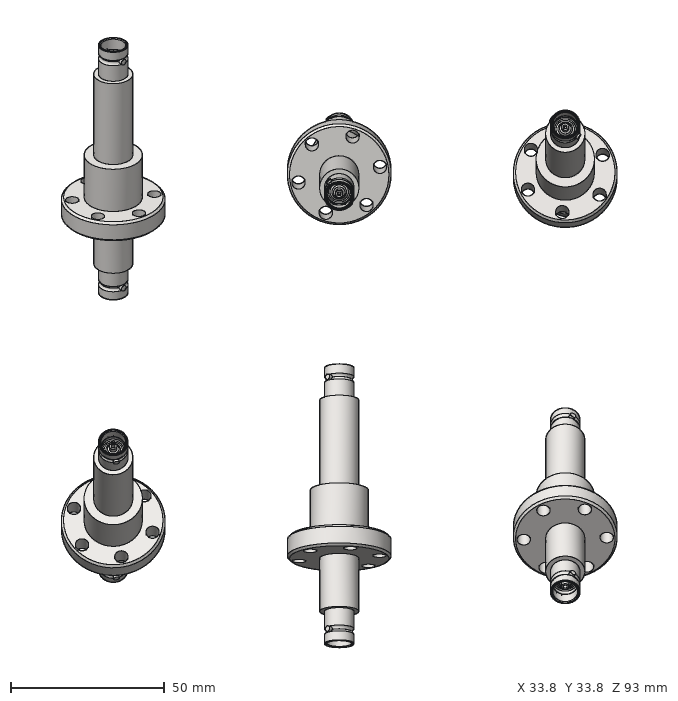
import cadquery as cq

overall_length = 92.96
lower_reach = 28.8
upper_reach = overall_length - lower_reach

flange_diameter = 33.78
flange_thickness = 7.1
flange_chamfer = 0.75
bolt_count = 6
bolt_circle_diameter = 26.97
bolt_hole_diameter = 4.32

hub_diameter = 18.95
hub_top = 22.9
barrel_diameter = 12.75

shell_length = 11.0
shell_radius = 4.83
rim_chamfer = 0.18
groove_start = 3.2
groove_end = 5.15
groove_middle = (groove_start + groove_end) / 2
groove_radius = 4.3
lug_diameter = 1.95
lug_span = 10.97

mouth_chamfer = 0.3
mouth_radius = 4.05
mouth_depth = 4.1
bore_radius = 3.95
bore_depth = 5.75
floor_radius = 3.5
floor_depth = 6.0

insulator_base_radius = 3.0
insulator_break_radius = 2.35
insulator_tip_radius = 1.85
insulator_break_height = 0.35
insulator_height = 1.05

contact_radius = 1.2
contact_height = 1.95
contact_hole_radius = 0.6


def cylinder(diameter, bottom, top):
    return cq.Workplane("XY").workplane(offset=bottom).circle(diameter / 2).extrude(top - bottom)


def make_flange():
    flange = cylinder(flange_diameter, 0, flange_thickness).edges().chamfer(flange_chamfer)
    bolt_holes = (
        cq.Workplane("XY")
        .polarArray(bolt_circle_diameter / 2, 0, 360, bolt_count)
        .circle(bolt_hole_diameter / 2)
        .extrude(flange_thickness)
    )
    return flange.cut(bolt_holes)


def make_connector():
    """Connector with its open rim at Z = 0, running down to -shell_length."""
    insulator_top = insulator_height - floor_depth
    contact_top = insulator_top + contact_height
    half_section = (
        cq.Workplane("XZ")
        .moveTo(0, -shell_length)
        .lineTo(shell_radius, -shell_length)
        .lineTo(shell_radius, -groove_end)
        .threePointArc((groove_radius, -groove_middle), (shell_radius, -groove_start))
        .lineTo(shell_radius, -rim_chamfer)
        .lineTo(shell_radius - rim_chamfer, 0)
        .lineTo(mouth_radius + mouth_chamfer, 0)
        .lineTo(mouth_radius, -mouth_chamfer)
        .lineTo(mouth_radius, -mouth_depth)
        .lineTo(bore_radius, -mouth_depth)
        .lineTo(bore_radius, -bore_depth)
        .lineTo(floor_radius, -floor_depth)
        .lineTo(insulator_base_radius, -floor_depth)
        .lineTo(insulator_break_radius, insulator_break_height - floor_depth)
        .lineTo(insulator_tip_radius, insulator_top)
        .lineTo(contact_radius, insulator_top)
        .lineTo(contact_radius, contact_top)
        .lineTo(contact_hole_radius, contact_top)
        .lineTo(contact_hole_radius, insulator_top)
        .lineTo(0, insulator_top)
        .close()
    )
    shell = half_section.revolve(360, (0, 0, 0), (0, 1, 0))
    lug_bar = (
        cq.Workplane("YZ")
        .center(0, -groove_middle)
        .circle(lug_diameter / 2)
        .extrude(lug_span / 2, both=True)
    )
    lugs = lug_bar.cut(cylinder(2 * groove_radius, -shell_length, 0))
    return shell.union(lugs)


flange = make_flange()
hub = cylinder(hub_diameter, 0, hub_top)
barrel = cylinder(barrel_diameter, shell_length - lower_reach, upper_reach - shell_length)
connector = make_connector()
upper_connector = connector.translate((0, 0, upper_reach))
lower_connector = connector.mirror("XY").translate((0, 0, -lower_reach))

result = flange.union(hub).union(barrel).union(upper_connector).union(lower_connector)